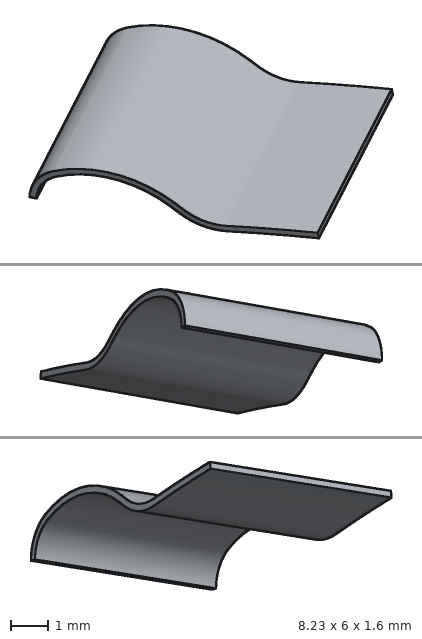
import cadquery as cq
import math

length = 8.23
width = 6.0
height = 1.6
thickness = 0.2

foot_heading = math.radians(90)
shoulder_heading = math.radians(30)
descent_heading = math.radians(-33.2)
tail_start_heading = math.radians(13.4)
tip_heading = math.radians(10.3)

foot_radius = 1.33
descent_length = 0.32
valley_radius = 1.54

crest_radius = (height - foot_radius * math.cos(shoulder_heading)) / (1 - math.cos(shoulder_heading))


def ahead(point, heading, distance):
    """Point reached by going a distance along a heading."""
    x, z = point
    return (x + distance * math.cos(heading), z + distance * math.sin(heading))


def below(point, heading):
    """Matching point on the lower face, one thickness square to the upper face."""
    return ahead(point, heading - math.pi / 2, thickness)


def bend(start, start_heading, end_heading, radius):
    """Middle and end points of an arc tangent to the start heading."""
    side = math.copysign(math.pi / 2, end_heading - start_heading)
    center = ahead(start, start_heading + side, radius)
    middle_heading = (start_heading + end_heading) / 2
    middle = ahead(center, middle_heading - side, radius)
    end = ahead(center, end_heading - side, radius)
    return middle, end


foot = (0, 0)
foot_middle, shoulder = bend(foot, foot_heading, shoulder_heading, foot_radius)
crest_middle, arch_end = bend(shoulder, shoulder_heading, descent_heading, crest_radius)
descent_end = ahead(arch_end, descent_heading, descent_length)
valley_middle, tail_start = bend(descent_end, descent_heading, tail_start_heading, valley_radius)

tip_x = length - thickness * math.sin(tip_heading)
tail_radius = (tip_x - tail_start[0]) / (math.sin(tail_start_heading) - math.sin(tip_heading))
tail_middle, tip = bend(tail_start, tail_start_heading, tip_heading, tail_radius)

foot_middle_heading = (foot_heading + shoulder_heading) / 2
crest_middle_heading = (shoulder_heading + descent_heading) / 2
valley_middle_heading = (descent_heading + tail_start_heading) / 2
tail_middle_heading = (tail_start_heading + tip_heading) / 2

result = (
    cq.Workplane("XZ")
    .moveTo(*foot)
    .threePointArc(foot_middle, shoulder)
    .threePointArc(crest_middle, arch_end)
    .lineTo(*descent_end)
    .threePointArc(valley_middle, tail_start)
    .threePointArc(tail_middle, tip)
    .lineTo(*below(tip, tip_heading))
    .threePointArc(below(tail_middle, tail_middle_heading), below(tail_start, tail_start_heading))
    .threePointArc(below(valley_middle, valley_middle_heading), below(descent_end, descent_heading))
    .lineTo(*below(arch_end, descent_heading))
    .threePointArc(below(crest_middle, crest_middle_heading), below(shoulder, shoulder_heading))
    .threePointArc(below(foot_middle, foot_middle_heading), below(foot, foot_heading))
    .close()
    .extrude(-width)
)